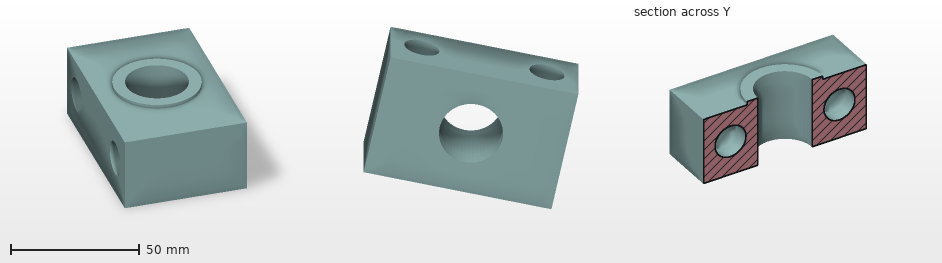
import cadquery as cq

length = 75.0
width = 50.0
block_height = 30.0

collar_diameter = 35.0
collar_height = 1.5
bore_diameter = 25.0

cross_hole_diameter = 14.0
cross_hole_spacing = 50.0
cross_hole_height = 15.5

total_height = block_height + collar_height

block = cq.Workplane("XY").box(length, width, block_height, centered=(True, True, False))
collar = cq.Workplane("XY").circle(collar_diameter / 2).extrude(total_height)
bore = cq.Workplane("XY").circle(bore_diameter / 2).extrude(total_height)

cross_holes = (
    cq.Workplane("XZ")
    .pushPoints([(side * cross_hole_spacing / 2, cross_hole_height) for side in (-1, 1)])
    .circle(cross_hole_diameter / 2)
    .extrude(width / 2, both=True)
)

result = block.union(collar).cut(bore).cut(cross_holes)